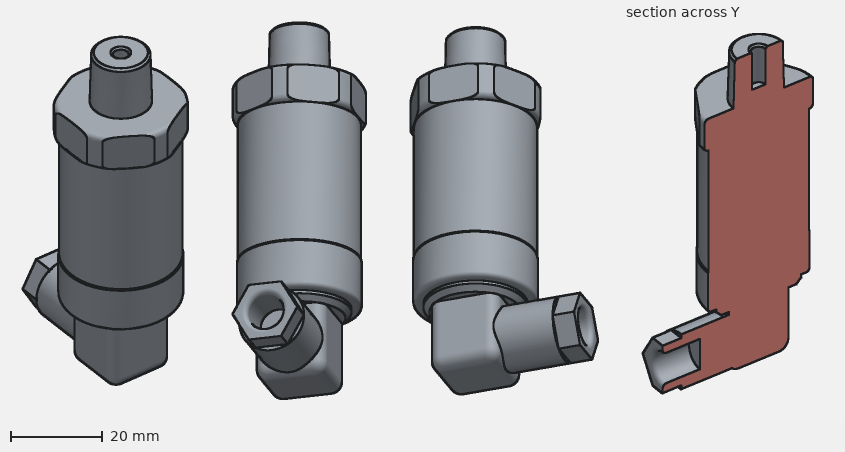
import cadquery as cq
import math

total_height = 83.3
hex_top = 70.4
hex_bottom = 61.7
cap_top = 29.4
cap_bottom = 18.25
collar_bottom = 16.2

body_radius = 13.5
cap_radius = 13.7
cap_top_bevel = 0.3
cap_bottom_fillet = 1.0
collar_radius = 11.4
collar_chamfer = 1.3

hex_across_flats = 2 * body_radius
hex_corner_radius = 14.7
hex_corner_fillet = 1.25

nipple_base_radius = 6.8
nipple_tip_radius = 6.5
nipple_chamfer = 0.6
port_radius = 1.75
port_chamfer = 0.5
port_depth = 10

block_width = 16.0
block_fillet = 2.7
outlet_axis_height = 8.2
outlet_radius = 7.4
outlet_end = 25.8
outlet_hex_length = 5
outlet_hex_corner_radius = outlet_radius
bore_radius = 4.0
bore_mouth_fillet = 1.2
bore_depth = 10


def make_body():
    """Body, cap and collar as one turned shape."""
    return (
        cq.Workplane("XZ")
        .moveTo(0, collar_bottom)
        .lineTo(collar_radius - collar_chamfer, collar_bottom)
        .lineTo(collar_radius, collar_bottom + collar_chamfer)
        .lineTo(collar_radius, cap_bottom)
        .lineTo(cap_radius - cap_bottom_fillet, cap_bottom)
        .radiusArc((cap_radius, cap_bottom + cap_bottom_fillet), -cap_bottom_fillet)
        .lineTo(cap_radius, cap_top - cap_top_bevel)
        .lineTo(body_radius, cap_top)
        .lineTo(body_radius, hex_bottom)
        .lineTo(0, hex_bottom)
        .close()
        .revolve(360, (0, 0), (0, 1))
    )


def make_main_hex():
    """Hexagon with corners on the X axis, trimmed by a round-edged disc."""
    height = hex_top - hex_bottom
    across_corners = hex_across_flats / math.cos(math.pi / 6)
    base = cq.Workplane("XY").workplane(offset=hex_bottom)
    prism = base.polygon(6, across_corners).extrude(height)
    disc = base.circle(hex_corner_radius).extrude(height).edges().fillet(hex_corner_fillet)
    return prism.intersect(disc)


def make_nipple():
    """Tapered nipple with a chamfered tip."""
    return (
        cq.Workplane("XZ")
        .moveTo(0, hex_top)
        .lineTo(nipple_base_radius, hex_top)
        .lineTo(nipple_tip_radius, total_height - nipple_chamfer)
        .lineTo(nipple_tip_radius - nipple_chamfer, total_height)
        .lineTo(0, total_height)
        .close()
        .revolve(360, (0, 0), (0, 1))
    )


def make_port():
    """Cutter for the pressure port in the nipple tip, including its chamfer."""
    return (
        cq.Workplane("XZ")
        .moveTo(0, total_height)
        .lineTo(port_radius + port_chamfer, total_height)
        .lineTo(port_radius, total_height - port_chamfer)
        .lineTo(port_radius, total_height - port_depth)
        .lineTo(0, total_height - port_depth)
        .close()
        .revolve(360, (0, 0), (0, 1))
    )


def make_block():
    """Square elbow block with rounded sides and bottom."""
    return (
        cq.Workplane("XY")
        .rect(block_width, block_width)
        .extrude(collar_bottom)
        .edges("|Z or <Z")
        .fillet(block_fillet)
    )


def make_outlet():
    """Round outlet tube towards -X, ending in a hexagon."""
    end_plane = cq.Workplane("YZ", origin=(-outlet_end, 0, outlet_axis_height))
    hexagon = end_plane.polygon(6, 2 * outlet_hex_corner_radius).extrude(outlet_hex_length)
    tube = (
        end_plane.workplane(offset=outlet_hex_length)
        .circle(outlet_radius)
        .extrude(outlet_end - outlet_hex_length)
    )
    return tube.union(hexagon)


def make_bore():
    """Cutter for the blind outlet bore, flaring out at its rounded mouth."""
    mouth_radius = bore_radius + bore_mouth_fillet
    return (
        cq.Workplane("XY", origin=(-outlet_end, 0, outlet_axis_height))
        .lineTo(0, mouth_radius)
        .radiusArc((bore_mouth_fillet, bore_radius), -bore_mouth_fillet)
        .lineTo(bore_depth, bore_radius)
        .lineTo(bore_depth, 0)
        .close()
        .revolve(360, (0, 0), (1, 0))
    )


result = (
    make_body()
    .union(make_main_hex())
    .union(make_nipple())
    .union(make_block())
    .union(make_outlet())
    .cut(make_port())
    .cut(make_bore())
)